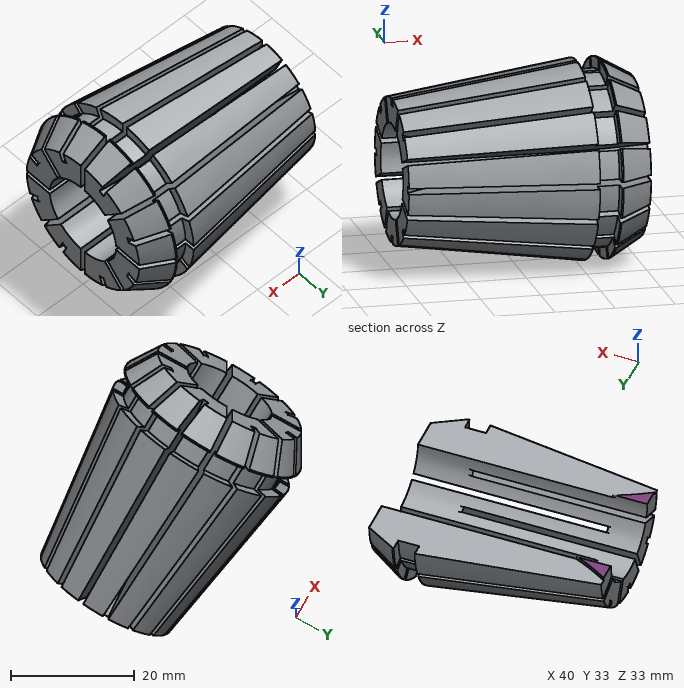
import cadquery as cq
import math

length = 40.0
outer_diameter = 33.0
outer_radius = outer_diameter / 2
bore_radius = 7.9
taper_angle = 8.0
head_angle = 30.0
groove_start = 30.8
groove_end = 34.45
groove_radius = 14.55
head_rim_width = 0.3

slots_per_set = 8
slot_width = 1.0
saw_radius = 40.0
nose_slot_floor_radius = 11.65
nose_slot_run = 9.8
head_slot_floor_radius = 11.1
head_slot_run = 6.0

slot_pitch = 360.0 / slots_per_set
cut_clearance = 2.0
cut_radius = outer_radius + cut_clearance


def turned_body():
    """Tapered body, nut groove and chamfered head revolved around the bore."""
    nose_radius = outer_radius - groove_start * math.tan(math.radians(taper_angle))
    rim_end = groove_end + head_rim_width
    head_face_radius = outer_radius - (length - rim_end) * math.tan(math.radians(head_angle))
    profile = (
        cq.Workplane("XZ")
        .moveTo(0, bore_radius)
        .lineTo(0, nose_radius)
        .lineTo(groove_start, outer_radius)
        .lineTo(groove_start, groove_radius)
        .lineTo(groove_end, groove_radius)
        .lineTo(groove_end, outer_radius)
        .lineTo(rim_end, outer_radius)
        .lineTo(length, head_face_radius)
        .lineTo(length, bore_radius)
        .close()
    )
    return profile.revolve(360, (0, 0, 0), (1, 0, 0))


def saw_slot(floor_radius, floor_run):
    """Cutter open at the nose, its concave floor rising from the bore to the head face."""
    breakthrough = length - floor_run
    chord = math.hypot(floor_run, floor_radius - bore_radius)
    sagitta = saw_radius - math.sqrt(saw_radius**2 - (chord / 2) ** 2)
    return (
        cq.Workplane("XZ")
        .moveTo(0, 0)
        .lineTo(breakthrough, 0)
        .lineTo(breakthrough, bore_radius)
        .sagittaArc((length, floor_radius), -sagitta)
        .lineTo(length, cut_radius)
        .lineTo(0, cut_radius)
        .close()
        .extrude(slot_width / 2, both=True)
    )


def cut_slots(body, slot, first_angle):
    """Cut the slot around the X axis at every slot pitch."""
    for index in range(slots_per_set):
        angle = first_angle + index * slot_pitch
        body = body.cut(slot.rotate((0, 0, 0), (1, 0, 0), angle))
    return body


nose_slot = saw_slot(nose_slot_floor_radius, nose_slot_run)
head_slot = saw_slot(head_slot_floor_radius, head_slot_run).mirror("YZ", (length / 2, 0, 0))

result = turned_body()
result = cut_slots(result, nose_slot, slot_pitch / 2)
result = cut_slots(result, head_slot, 0)